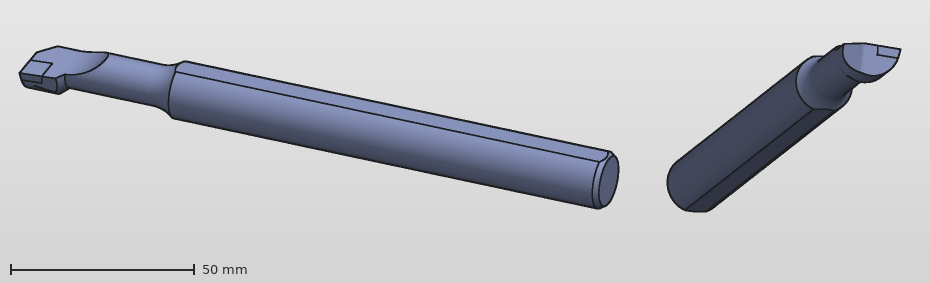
import cadquery as cq
import math

bar_length = 170.0

shank_radius = 8.0
shank_start = 43.5
flat_height = 7.4
chamfer_length = 1.5
chamfer_depth = 1.0

neck_radius = 5.8
neck_end = 37.0

head_radius = 7.22
head_offset = neck_radius - head_radius
head_end = 9.9
head_taper_end = 12.0

tip_y = -9.0
tip_z = 0.3
rake_angle = 7.0

flute_centre_x = -1.7
flute_disc_radius = 13.3
flute_rim_radius = 15.6
flute_depth = 10.2

insert_side = 6.38
insert_thickness = 2.5
lead_angle = math.radians(5.0)
clearance_angle = 6.0
front_edge_length = 10.2
nose_fillet = 1.7
nose_corner_angle = math.radians(45.0)
envelope_size = 20.4
envelope_depth = 13.6

along = cq.Vector(math.cos(lead_angle), math.sin(lead_angle))
across = cq.Vector(math.sin(lead_angle), math.cos(lead_angle))


def rake_plane(x, y):
    """Plane lying on the rake face, with its origin above the point (x, y)."""
    tilt = math.radians(rake_angle)
    z = tip_z + (y - tip_y) * math.tan(tilt)
    return cq.Plane(origin=(x, y, z), xDir=(1, 0, 0), normal=(0, -math.sin(tilt), math.cos(tilt)))


def outline_on_rake(points):
    """Closed outline on the rake plane, measured from the cutting tip."""
    return cq.Workplane(rake_plane(0, tip_y)).polyline([(p.x, p.y) for p in points]).close()


def make_shank_and_neck():
    run = shank_start - neck_end
    rise = shank_radius - neck_radius
    blend_radius = (run**2 + rise**2) / (2 * rise)
    half_angle = math.asin(run / blend_radius) / 2
    blend_mid = (
        neck_end + blend_radius * math.sin(half_angle),
        neck_radius + blend_radius * (1 - math.cos(half_angle)),
    )
    bar = (
        cq.Workplane("XY")
        .moveTo(head_end, 0)
        .lineTo(head_end, neck_radius)
        .lineTo(neck_end, neck_radius)
        .threePointArc(blend_mid, (shank_start, shank_radius))
        .lineTo(bar_length - chamfer_length, shank_radius)
        .lineTo(bar_length, shank_radius - chamfer_depth)
        .lineTo(bar_length, 0)
        .close()
        .revolve(360, (0, 0, 0), (1, 0, 0))
    )
    between_flats = cq.Workplane("XY").box(
        bar_length, 2 * shank_radius, 2 * flat_height, centered=(False, True, True)
    )
    return bar.intersect(between_flats)


def make_head():
    cylinder = cq.Workplane("YZ").center(head_offset, 0).circle(head_radius).extrude(head_end)
    taper = (
        cq.Workplane("YZ", origin=(head_end, 0, 0))
        .center(head_offset, 0)
        .circle(head_radius)
        .workplane(offset=head_taper_end - head_end)
        .center(-head_offset, 0)
        .circle(neck_radius)
        .loft(ruled=True)
    )
    return cylinder.union(taper).intersect(make_clearance_envelope())


def make_clearance_envelope():
    """Space left by the front, side and corner clearance faces."""
    nose = across * front_edge_length
    corner = nose + cq.Vector(math.cos(nose_corner_angle), math.sin(nose_corner_angle)) * envelope_size
    points = [
        cq.Vector(0, 0),
        along * envelope_size,
        cq.Vector(envelope_size, corner.y),
        corner,
        nose,
    ]
    below = outline_on_rake(points).extrude(-envelope_depth, taper=clearance_angle)
    nose_edge = cq.selectors.NearestToPointSelector(
        rake_plane(0, tip_y).toWorldCoords((nose.x, nose.y, -envelope_depth / 2)).toTuple()
    )
    below = below.edges(nose_edge).fillet(nose_fillet)
    above = outline_on_rake(points).extrude(envelope_depth)
    return below.union(above)


def make_flute():
    """Cutter whose flat bottom forms the rake face and whose rim is concave."""

    def rim_point(height):
        reach = math.sqrt(flute_rim_radius**2 - (flute_rim_radius - height) ** 2)
        return (flute_disc_radius + reach, height)

    return (
        cq.Workplane(rake_plane(flute_centre_x, 0))
        .transformed(rotate=(90, 0, 0))
        .lineTo(flute_disc_radius, 0)
        .threePointArc(rim_point(flute_depth / 4), rim_point(flute_depth))
        .lineTo(0, flute_depth)
        .close()
        .revolve(360, (0, 0, 0), (0, 1, 0))
    )


def make_insert():
    side = along * insert_side
    front = across * insert_side
    rhombus = outline_on_rake([cq.Vector(0, 0), side, side + front, front])
    return rhombus.extrude(-insert_thickness, taper=clearance_angle)


insert = make_insert()
holder = make_shank_and_neck().union(make_head()).cut(make_flute()).cut(insert)

result = cq.Compound.makeCompound([holder.val(), insert.val()])